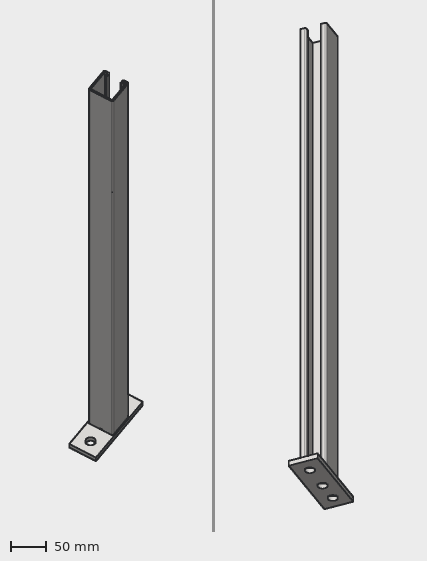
import cadquery as cq

TOTAL_HEIGHT = 758.0
PLATE_WIDTH = 45.0
PLATE_LENGTH = 120.0
PLATE_THICKNESS = 8.0
HOLE_DIAMETER = 14.5
FRONT_HOLE_Y = -39.5
MIDDLE_HOLE_Y = -5.0
REAR_HOLE_Y = 37.0

CHANNEL_SIZE = 41.0
CHANNEL_CENTRE_Y = 6.45
WALL = 2.5
CORNER_RADIUS = 2.0
SLOT_WIDTH = 22.0
LIP_DEPTH = 7.5

channel_height = TOTAL_HEIGHT - PLATE_THICKNESS
flange_y = CHANNEL_CENTRE_Y + CHANNEL_SIZE / 2


def upright_bar(size):
    """Square bar of the channel's height, centred in X and Y."""
    return cq.Workplane("XY").box(size, size, channel_height, centered=(True, True, False))


def build_base_plate():
    """Flat plate with three through holes on its long centreline."""
    plate = cq.Workplane("XY").box(
        PLATE_WIDTH, PLATE_LENGTH, PLATE_THICKNESS, centered=(True, True, False)
    )
    hole_centres = [(0, y) for y in (FRONT_HOLE_Y, MIDDLE_HOLE_Y, REAR_HOLE_Y)]
    drills = (
        cq.Workplane("XY")
        .pushPoints(hole_centres)
        .circle(HOLE_DIAMETER / 2)
        .extrude(PLATE_THICKNESS)
    )
    return plate.cut(drills)


def build_lip(side):
    """Edge of the channel that turns back inside, on the given side of the slot."""
    lip_x = side * (SLOT_WIDTH + WALL) / 2
    lip = cq.Workplane("XY").box(WALL, LIP_DEPTH, channel_height, centered=(True, False, False))
    slot_side = "<X" if side > 0 else ">X"
    lip = lip.faces(">Y").edges(slot_side).fillet(CORNER_RADIUS)
    return lip.translate((lip_x, flange_y - LIP_DEPTH, 0))


def build_channel():
    """Square tube with a full-height slot and two inward lips."""
    cavity_size = CHANNEL_SIZE - 2 * WALL
    outside = upright_bar(CHANNEL_SIZE).edges("|Z").fillet(CORNER_RADIUS)
    cavity = upright_bar(cavity_size)
    channel = outside.cut(cavity).translate((0, CHANNEL_CENTRE_Y, 0))

    slot = (
        cq.Workplane("XY")
        .box(SLOT_WIDTH + 2 * WALL, CHANNEL_SIZE / 2, channel_height, centered=(True, False, False))
        .translate((0, CHANNEL_CENTRE_Y, 0))
    )
    channel = channel.cut(slot)
    for side in (-1, 1):
        channel = channel.union(build_lip(side))
    return channel.translate((0, 0, PLATE_THICKNESS))


base_plate = build_base_plate()
channel = build_channel()
result = cq.Compound.makeCompound([base_plate.val(), channel.val()])